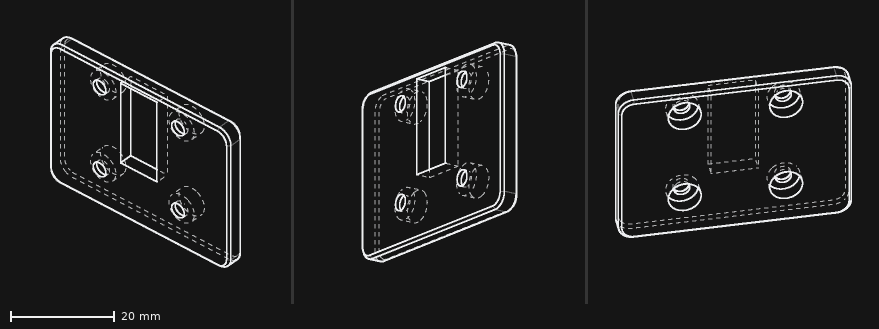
import cadquery as cq

width = 46.0
thickness = 4.0
height = 33.8
corner_radius = 3.0
edge_chamfer = 0.6

hole_diameter = 3.2
hole_spacing = 20.0
hole_pattern_z = 1.9

counterbore_diameter = 6.5
counterbore_floor_gap = 1.0

pocket_width = 9.3
pocket_height = 19.4
pocket_top_gap = 1.3
pocket_depth = 3.0

front_y = -thickness / 2


def make_plate():
    """Rounded plate with both face outlines chamfered."""
    plate = cq.Workplane("XY").box(width, thickness, height)
    plate = plate.edges("|Y").fillet(corner_radius)
    return plate.faces("<Y or >Y").edges().chamfer(edge_chamfer)


def cut_holes(body):
    """Remove the four through holes, each counterbored from the back face."""
    return (
        body.faces(">Y")
        .workplane(origin=(0, 0, hole_pattern_z))
        .rarray(hole_spacing, hole_spacing, 2, 2)
        .cboreHole(hole_diameter, counterbore_diameter, thickness - counterbore_floor_gap)
    )


def make_pocket():
    """Block removed from the front face for the pocket."""
    center_z = height / 2 - pocket_top_gap - pocket_height / 2
    block = cq.Workplane("XY").box(pocket_width, pocket_depth, pocket_height)
    return block.translate((0, front_y + pocket_depth / 2, center_z))


result = cut_holes(make_plate().cut(make_pocket()))